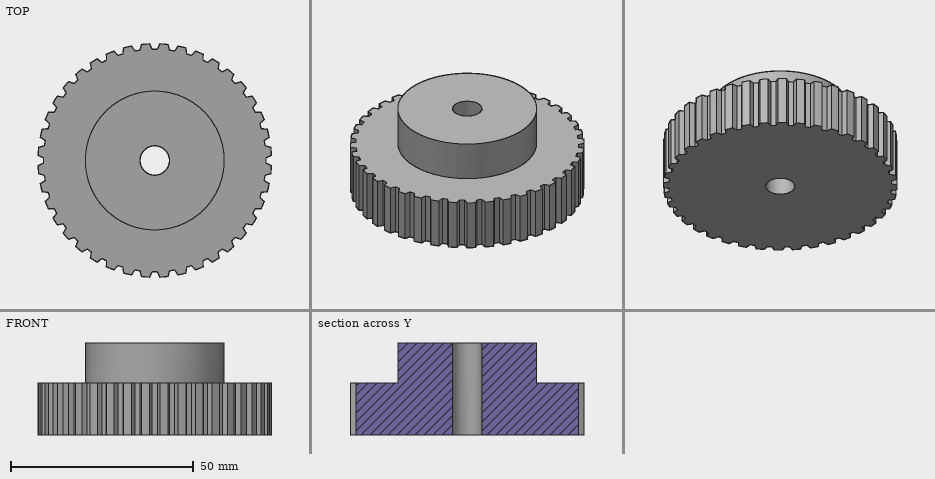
import cadquery as cq
import math

OUTER_SIZE = 64.1
TOOTH_COUNT = 40
GROOVE_DEPTH = 1.5
GROOVE_FLOOR_WIDTH = 1.4
GROOVE_MOUTH_WIDTH = 2.75
TOOTHED_HEIGHT = 14.35
TOTAL_HEIGHT = 25.4
HUB_DIAMETER = 38.15
BORE_DIAMETER = 8.0

tip_radius = math.hypot(OUTER_SIZE / 2, GROOVE_MOUTH_WIDTH / 2)
floor_radius = OUTER_SIZE / 2 - GROOVE_DEPTH
tooth_pitch_angle = 2 * math.pi / TOOTH_COUNT
mouth_half_angle = math.asin(GROOVE_MOUTH_WIDTH / 2 / tip_radius)


def polar_point(radius, angle):
    return (radius * math.cos(angle), radius * math.sin(angle))


def groove_floor_corner(groove_angle, side):
    """Corner of a flat groove floor; side is -1 or +1 along the turning direction."""
    along = side * GROOVE_FLOOR_WIDTH / 2
    return (
        floor_radius * math.cos(groove_angle) - along * math.sin(groove_angle),
        floor_radius * math.sin(groove_angle) + along * math.cos(groove_angle),
    )


def toothed_outline():
    """Closed outline of trapezoidal grooves separated by round tooth tips."""
    outline = cq.Workplane("XY").moveTo(*groove_floor_corner(0, -1))
    for index in range(TOOTH_COUNT):
        groove_angle = index * tooth_pitch_angle
        next_groove_angle = groove_angle + tooth_pitch_angle
        tip_start = polar_point(tip_radius, groove_angle + mouth_half_angle)
        tip_middle = polar_point(tip_radius, groove_angle + tooth_pitch_angle / 2)
        tip_end = polar_point(tip_radius, next_groove_angle - mouth_half_angle)
        outline = outline.lineTo(*groove_floor_corner(groove_angle, 1))
        outline = outline.lineTo(*tip_start)
        outline = outline.threePointArc(tip_middle, tip_end)
        if index < TOOTH_COUNT - 1:
            outline = outline.lineTo(*groove_floor_corner(next_groove_angle, -1))
    return outline.close()


rim = toothed_outline().extrude(TOOTHED_HEIGHT)
hub = cq.Workplane("XY").circle(HUB_DIAMETER / 2).extrude(TOTAL_HEIGHT)
bore = cq.Workplane("XY").circle(BORE_DIAMETER / 2).extrude(TOTAL_HEIGHT)

result = rim.union(hub).cut(bore)